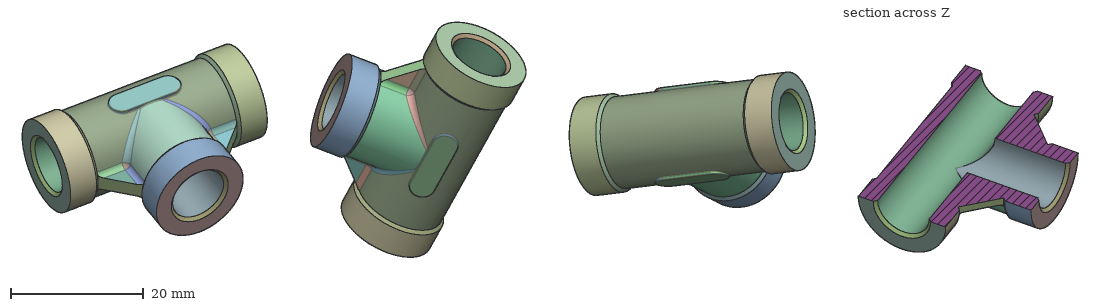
import cadquery as cq

run_length = 34.0
end_reach = run_length / 2
collar_diameter = 15.0
body_diameter = 14.0
collar_length = 4.5
bore_diameter = 8.8
bore_chamfer = 0.5
web_thickness = 2.4
blend_radius = 1.0
plaque_length = 12.0
plaque_width = 4.0
plaque_top = 7.25
plaque_edge_radius = 0.1
clearance = 0.05

collar_radius = collar_diameter / 2
body_radius = body_diameter / 2
bore_radius = bore_diameter / 2
taper = collar_radius - body_radius
body_reach = end_reach - collar_length - taper


def along(axis, profile):
    """Revolve an (offset, radius) profile around the X or Y axis."""
    if axis == "X":
        return cq.Workplane("XY").polyline(profile).close().revolve(360, (0, 0), (1, 0))
    swapped = [(radius, offset) for offset, radius in profile]
    return cq.Workplane("XY").polyline(swapped).close().revolve(360, (0, 0), (0, 1))


def collar(axis, side):
    """End collar with a 45 degree taper down to the body."""
    return along(axis, [
        (side * body_reach, 0),
        (side * body_reach, body_radius),
        (side * (body_reach + taper), collar_radius),
        (side * end_reach, collar_radius),
        (side * end_reach, 0),
    ])


def bore_end(axis, side):
    """Straight bore from the tee centre to one end, with a chamfered mouth."""
    return along(axis, [
        (0, 0),
        (0, bore_radius),
        (side * (end_reach - bore_chamfer), bore_radius),
        (side * end_reach, bore_radius + bore_chamfer),
        (side * end_reach, 0),
    ])


def plaque(side):
    """Raised, round-ended name plate above or below the run."""
    plate = (
        cq.Workplane("XY")
        .slot2D(plaque_length, plaque_width, 90)
        .extrude(side * plaque_top)
    )
    return plate.faces(">Z" if side > 0 else "<Z").edges().fillet(plaque_edge_radius)


run = cq.Workplane("XZ").circle(body_radius).extrude(end_reach, both=True)
branch = cq.Workplane("YZ").circle(body_radius).extrude(end_reach)
web_plate = (
    cq.Workplane("XY")
    .rect(end_reach, 2 * end_reach)
    .extrude(web_thickness / 2, both=True)
    .translate((end_reach / 2, 0, 0))
)
body = run.union(branch).union(web_plate)

inner_reach = end_reach - clearance
inner_zone = cq.selectors.BoxSelector(
    (0, -inner_reach, -web_thickness),
    (inner_reach, inner_reach, web_thickness),
)
seams = body.edges("%ELLIPSE").vals()
web_roots = body.edges("|X or |Y").edges(inner_zone).vals()
body = body.newObject(seams + web_roots).fillet(blend_radius)

outline = (
    cq.Workplane("XY")
    .polyline([
        (-collar_radius, body_reach),
        (body_radius, body_reach),
        (body_reach, body_radius),
        (body_reach, -body_radius),
        (body_radius, -body_reach),
        (-collar_radius, -body_reach),
    ])
    .close()
    .extrude(collar_radius, both=True)
)
body = body.intersect(outline)

for side in (1, -1):
    body = body.union(plaque(side))
foot_zone = cq.selectors.BoxSelector(
    (-plaque_width / 2 - clearance, -plaque_length / 2 - clearance, -body_radius),
    (plaque_width / 2 + clearance, plaque_length / 2 + clearance, body_radius),
)
body = body.edges("not(|Z)").edges(foot_zone).fillet(plaque_edge_radius)

ends = [("Y", 1), ("Y", -1), ("X", 1)]
for axis, side in ends:
    body = body.union(collar(axis, side))
for axis, side in ends:
    body = body.cut(bore_end(axis, side))

result = body